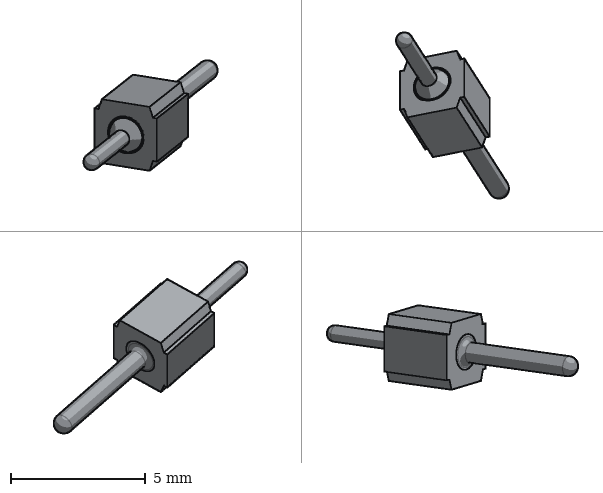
import cadquery as cq
import math

total_length = 11.13
housing_size = 2.54
housing_length = 2.82
side_flat_height = 1.71
step_width = 2.21
top_flat_width = 1.94

front_reach = 3.37
front_radius = 0.31
rear_radius = 0.38
core_radius = 0.67
root_fillet = 0.2

gap_width = 0.06
gap_depth = 0.07

front_tip = -front_reach
rear_tip = front_tip + total_length
cone_length = core_radius - front_radius


def cylinder(radius, start, length):
    """Cylinder along +Y from the given Y position."""
    return cq.Workplane("XZ", origin=(0, start, 0)).circle(radius).extrude(-length)


def make_housing():
    """Block with stepped, sloping corners, bored for the pin."""
    half_size = housing_size / 2
    half_flat = side_flat_height / 2
    half_step = step_width / 2
    half_top = top_flat_width / 2
    block = (
        cq.Workplane("XZ")
        .moveTo(half_top, half_size)
        .lineTo(half_step, half_flat)
        .lineTo(half_size, half_flat)
        .lineTo(half_size, -half_flat)
        .lineTo(half_step, -half_flat)
        .lineTo(half_top, -half_size)
        .lineTo(-half_top, -half_size)
        .lineTo(-half_step, -half_flat)
        .lineTo(-half_size, -half_flat)
        .lineTo(-half_size, half_flat)
        .lineTo(-half_step, half_flat)
        .lineTo(-half_top, half_size)
        .close()
        .extrude(-housing_length)
    )
    bore = cylinder(core_radius, 0, housing_length)
    front_gap = cylinder(core_radius + gap_width, 0, gap_depth)
    return block.cut(bore).cut(front_gap)


def make_pin():
    """Round-ended pin: thin front end, cone, core, root fillet and thicker rear end."""
    arc_45 = math.sqrt(0.5)
    front_centre = front_tip + front_radius
    rear_centre = rear_tip - rear_radius
    root_radius = rear_radius + root_fillet
    root_end = housing_length + root_fillet
    return (
        cq.Workplane("XY")
        .moveTo(0, front_tip)
        .threePointArc(
            (front_radius * arc_45, front_centre - front_radius * arc_45),
            (front_radius, front_centre),
        )
        .lineTo(front_radius, -cone_length)
        .lineTo(core_radius, 0)
        .lineTo(core_radius, housing_length)
        .lineTo(root_radius, housing_length)
        .threePointArc(
            (root_radius - root_fillet * arc_45, root_end - root_fillet * arc_45),
            (rear_radius, root_end),
        )
        .lineTo(rear_radius, rear_centre)
        .threePointArc(
            (rear_radius * arc_45, rear_centre + rear_radius * arc_45),
            (0, rear_tip),
        )
        .close()
        .revolve(360, (0, 0, 0), (0, 1, 0))
    )


housing = make_housing()
pin = make_pin()

result = cq.Compound.makeCompound([housing.val(), pin.val()])